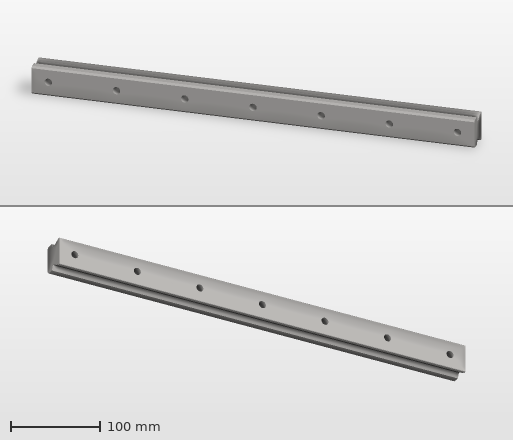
import cadquery as cq
import math

length = 520.0
depth = 27.5
height = 34.0

base_chamfer = 2.0
base_land_end = 10.0
groove_depth = 5.5
groove_floor_start = 12.5
groove_floor_end = 14.0
head_chamfer = 0.5

groove_slope = math.radians(30)
track_depth = 1.5
track_radius = 3.5
head_land_start = 24.5

hole_count = 7
hole_pitch = 80.0
hole_diameter = 9.0


def make_rail():
    """Extrude the symmetric rail section along X."""

    def upper(point):
        distance, drop = point
        return distance - depth / 2, height / 2 - drop

    slope_run = (groove_depth - track_depth) / math.tan(groove_slope)
    track_start = upper((groove_floor_end + slope_run, track_depth))
    track_end = upper((head_land_start, 0))
    section = (
        cq.Workplane("YZ")
        .moveTo(-depth / 2, 0)
        .lineTo(*upper((0, base_chamfer)))
        .lineTo(*upper((base_chamfer, 0)))
        .lineTo(*upper((base_land_end, 0)))
        .lineTo(*upper((groove_floor_start, groove_depth)))
        .lineTo(*upper((groove_floor_end, groove_depth)))
        .lineTo(*track_start)
        .radiusArc(track_end, -track_radius)
        .lineTo(*upper((depth - head_chamfer, 0)))
        .lineTo(*upper((depth, head_chamfer)))
        .lineTo(depth / 2, 0)
        .mirrorX()
    )
    return section.extrude(length / 2, both=True)


def make_mounting_holes():
    """Row of round cutters passing right through the rail along Y."""
    return (
        cq.Workplane("XZ")
        .rarray(hole_pitch, 5, hole_count, 1)
        .circle(hole_diameter / 2)
        .extrude(depth, both=True)
    )


result = make_rail().cut(make_mounting_holes())